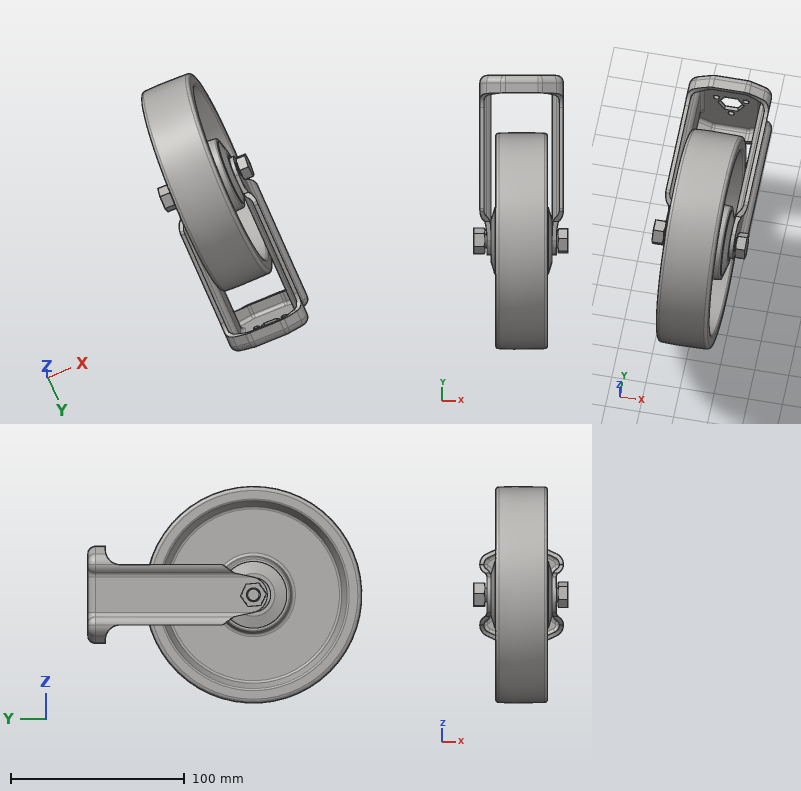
import cadquery as cq
import math


wheel_width = 30.0
wheel_radius = 62.45
tread_edge_radius = 62.0
tread_fillet = 2.0
rim_inner_radius = 54.3
rim_root_radius = 50.6
rim_edge_fillet = 1.2
rim_root_fillet = 1.5
disc_thickness = 5.0
hub_radius = 21.3
hub_root_radius = 22.5
hub_edge_fillet = 0.8
hub_root_fillet = 1.8
cap_radius = 19.2
cap_step = 0.5
cap_flat_radius = 12.3
boss_radius = 9.9
boss_height = 0.1
hub_recess = 0.1

sheet = 2.4
inner_bend = 2.1
outer_bend = inner_bend + sheet
web_x = 20.0
lobe_x = 24.1
lobe_z = 17.4
web_half_height = 10.2
lower_lobe_end_z = 12.7
plate_half_height = 28.0
plate_flat_half = 9.3
plate_corner_radius = 6.6
plate_slope = math.radians(25)
plate_back_y = 95.4
collar_depth = 10.2
collar_fillet = 8.5
flange_end_y = 17.7
flange_end_fillet = 3.0
taper_knee = (11.2, 12.6)
leg_end_y = -8.0
hex_hole_radius = 7.6
rivet_hole_diameter = 3.5
rivet_circle_radius = 10.0
rivet_angles = (30, 150, 270)

shank_radius = 4.0
thread_core_radius = 3.32
countersink = shank_radius - thread_core_radius
hex_across_flats = 13.0
hex_corner_radius = hex_across_flats / 2 / math.cos(math.pi / 6)
hex_chamfer_angle = math.radians(30)
nut_thickness = 6.5
nut_outer_x = -27.57
nut_turn = -5.0
head_thickness = 5.7
head_outer_x = 26.58
head_turn = 20.0

nut_inner_x = nut_outer_x + nut_thickness
head_inner_x = head_outer_x - head_thickness
boss_x = web_x - sheet
cap_flat_x = boss_x - boss_height
hub_end_x = wheel_width / 2 - hub_recess
tolerance = 0.01


def x_cylinder(radius, start_x, end_x):
    return cq.Workplane("YZ", origin=(start_x, 0, 0)).circle(radius).extrude(end_x - start_x)


def fillet_circles(solid, x, radius, size):
    """Fillet the two circles of one radius about the X axis, at -x and +x."""
    for side in (-1, 1):
        near = cq.selectors.BoxSelector(
            (side * x - tolerance, -radius - tolerance, -radius - tolerance),
            (side * x + tolerance, radius + tolerance, radius + tolerance),
            boundingbox=True,
        )
        inside = cq.selectors.BoxSelector(
            (side * x - tolerance, -radius + tolerance, -radius + tolerance),
            (side * x + tolerance, radius - tolerance, radius - tolerance),
            boundingbox=True,
        )
        solid = solid.edges(near - inside).fillet(size)
    return solid


def make_wheel():
    """Half section in X (first) and radius (second), revolved about the X axis and mirrored."""
    half_width = wheel_width / 2
    half_disc = disc_thickness / 2
    body = (
        cq.Workplane("XY")
        .moveTo(0, 0)
        .lineTo(hub_end_x, 0)
        .lineTo(hub_end_x, hub_radius)
        .lineTo(half_disc, hub_root_radius)
        .lineTo(half_disc, rim_root_radius)
        .lineTo(half_width, rim_inner_radius)
        .lineTo(half_width, tread_edge_radius)
        .threePointArc((0, wheel_radius), (-half_width, tread_edge_radius))
        .lineTo(-half_width, rim_inner_radius)
        .lineTo(-half_disc, rim_root_radius)
        .lineTo(-half_disc, hub_root_radius)
        .lineTo(-hub_end_x, hub_radius)
        .lineTo(-hub_end_x, 0)
        .close()
        .revolve(360, (0, 0, 0), (1, 0, 0))
    )

    body = fillet_circles(body, half_width, tread_edge_radius, tread_fillet)
    body = fillet_circles(body, half_width, rim_inner_radius, rim_edge_fillet)
    body = fillet_circles(body, half_disc, rim_root_radius, rim_root_fillet)
    body = fillet_circles(body, half_disc, hub_root_radius, hub_root_fillet)
    body = fillet_circles(body, hub_end_x, hub_radius, hub_edge_fillet)

    caps = (
        cq.Workplane("XY")
        .moveTo(0, 0)
        .lineTo(0, cap_radius)
        .lineTo(hub_end_x + cap_step, cap_radius)
        .lineTo(cap_flat_x, cap_flat_radius)
        .lineTo(cap_flat_x, boss_radius)
        .lineTo(boss_x, boss_radius)
        .lineTo(boss_x, 0)
        .close()
        .revolve(360, (0, 0, 0), (1, 0, 0))
    )
    body = body.union(caps).union(caps.mirror("YZ"))
    return body.cut(x_cylinder(shank_radius, -boss_x, boss_x))


def fork_section(plane_y):
    """Waisted outline of the bent sheet's outer face, on a plane facing -Y."""
    sin_slope = math.sin(plate_slope)
    cos_slope = math.cos(plate_slope)
    r = plate_corner_radius
    corner_end = (plate_flat_half + r * sin_slope, plate_half_height - r * (1 - cos_slope))
    slope_reach = (corner_end[0] - lobe_x) * sin_slope + (corner_end[1] - lobe_z) * cos_slope
    lobe_radius = slope_reach / (1 - sin_slope)
    lobe_start = (lobe_x - lobe_radius * (1 - sin_slope), lobe_z + lobe_radius * cos_slope)
    widest = (lobe_x, lobe_z)
    turn = 2 * math.atan2(lobe_x - web_x, lobe_z - web_half_height)
    lower_radius = (lobe_z - lower_lobe_end_z) / math.sin(turn)
    lower_end = (lobe_x - lower_radius * (1 - math.cos(turn)), lower_lobe_end_z)
    web_top = (web_x, web_half_height)

    def below(point):
        return (point[0], -point[1])

    return (
        cq.Workplane("XZ", origin=(0, plane_y, 0))
        .moveTo(0, plate_half_height)
        .lineTo(plate_flat_half, plate_half_height)
        .tangentArcPoint(corner_end, relative=False)
        .lineTo(*lobe_start)
        .tangentArcPoint(widest, relative=False)
        .tangentArcPoint(lower_end, relative=False)
        .tangentArcPoint(web_top, relative=False)
        .lineTo(*below(web_top))
        .tangentArcPoint(below(lower_end), relative=False)
        .tangentArcPoint(below(widest), relative=False)
        .tangentArcPoint(below(lobe_start), relative=False)
        .lineTo(*below(corner_end))
        .tangentArcPoint((plate_flat_half, -plate_half_height), relative=False)
        .lineTo(0, -plate_half_height)
        .mirrorY()
    )


def fork_side_outline():
    """Side outline in Y and Z: tall collar at the plate, narrow tapering legs down to the axle."""
    collar_y = plate_back_y - collar_depth
    upper = [
        (collar_y, plate_half_height),
        (collar_y, lobe_z),
        (flange_end_y, lobe_z),
        taper_knee,
        (0, web_half_height),
    ]
    lower = [(y, -z) for y, z in reversed(upper)]
    outline = (
        cq.Workplane("YZ", origin=(-lobe_x, 0, 0))
        .moveTo(plate_back_y, plate_half_height)
        .polyline(upper, includeCurrent=True)
        .threePointArc((leg_end_y, 0), lower[0])
        .polyline(lower[1:], includeCurrent=True)
        .lineTo(plate_back_y, -plate_half_height)
        .close()
        .extrude(2 * lobe_x)
    )
    for y, size in ((collar_y, collar_fillet), (flange_end_y, flange_end_fillet)):
        for z in (lobe_z, -lobe_z):
            corner = cq.selectors.BoxSelector(
                (-lobe_x, y - tolerance, z - tolerance),
                (lobe_x, y + tolerance, z + tolerance),
            )
            outline = outline.edges(corner).fillet(size)
    return outline


def make_fork():
    length = plate_back_y - 2 * leg_end_y
    outer = fork_section(plate_back_y).extrude(length).faces(">Y").edges().fillet(outer_bend)
    inner = fork_section(plate_back_y - sheet).offset2D(-sheet).extrude(length)
    inner = inner.faces(">Y").edges().fillet(inner_bend)
    fork = outer.cut(inner).intersect(fork_side_outline())

    plate_face = cq.Workplane("XZ", origin=(0, plate_back_y, 0))
    plate_holes = plate_face.polygon(6, 2 * hex_hole_radius).extrude(sheet)
    for angle in rivet_angles:
        direction = math.radians(angle)
        place = (rivet_circle_radius * math.cos(direction), rivet_circle_radius * math.sin(direction))
        rivet_hole = plate_face.center(*place).circle(rivet_hole_diameter / 2).extrude(sheet)
        plate_holes = plate_holes.union(rivet_hole)
    return fork.cut(plate_holes).cut(x_cylinder(shank_radius, -lobe_x, lobe_x))


def hexagon(thickness, turn):
    """Hexagon from X = 0 to +thickness whose corners are chamfered at X = 0."""
    wide_radius = hex_across_flats / 2 + thickness / math.tan(hex_chamfer_angle)
    prism = cq.Workplane("YZ").polygon(6, 2 * hex_corner_radius).extrude(thickness)
    envelope = (
        cq.Workplane("XY")
        .moveTo(0, 0)
        .lineTo(0, hex_across_flats / 2)
        .lineTo(thickness, wide_radius)
        .lineTo(thickness, 0)
        .close()
        .revolve(360, (0, 0, 0), (1, 0, 0))
    )
    return prism.intersect(envelope).rotate((0, 0, 0), (1, 0, 0), turn)


def make_nut():
    nut = hexagon(nut_thickness, nut_turn).mirror("YZ").translate((nut_inner_x, 0, 0))
    nut = nut.cut(x_cylinder(thread_core_radius, nut_outer_x, nut_inner_x))
    return nut.faces("<X").edges("%CIRCLE").chamfer(countersink)


def make_bolt():
    head = hexagon(head_thickness, head_turn).translate((head_inner_x, 0, 0))
    shank = x_cylinder(shank_radius, nut_inner_x, head_inner_x)
    thread = x_cylinder(thread_core_radius, nut_outer_x + countersink, nut_inner_x)
    return head.union(shank).union(thread)


wheel = make_wheel()
fork = make_fork()
bolt = make_bolt()
nut = make_nut()

result = cq.Compound.makeCompound([wheel.val(), fork.val(), bolt.val(), nut.val()])